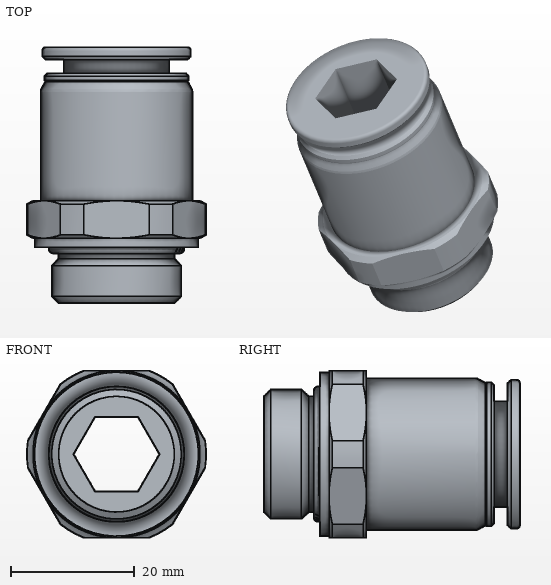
import cadquery as cq
import math

total_length = 41.35
end_chamfer = 1.1
thread_end = 6.05
groove_start = 7.2
seal_start = 8.02
flange_start = 9.0
hex_start = 10.5
hex_end = 16.55
shoulder_start = 34.35
shoulder_end = 35.75
collar_base = 36.0
collar_end = 37.17
button_start = 39.32

thread_radius = 10.45
groove_radius = 9.4
seal_radius = 10.95
flange_radius = 13.25
body_radius = 12.3
shoulder_radius = 11.55
collar_radius = 11.65
neck_radius = 8.55
button_radius = 12.05

hex_flats = 27.0
hex_turned_diameter = 29.0
hex_corner_radius = hex_turned_diameter / 2
hex_chamfer = 0.55
hex_face_radius = hex_flats / 2
key_flats = 12.0
collar_chamfer = 0.5
button_edge = 0.58
seal_section_radius = (seal_radius - groove_radius) / 2
shoulder_fillet = 0.9


def revolve_profile(profile):
    """Close a radius / length profile and turn it around the Y axis."""
    return profile.close().revolve(360, (0, 0, 0), (0, 1, 0))


def cylinder(radius, start, end):
    """Cylinder along Y between two positions."""
    return cq.Workplane("XZ", origin=(0, start, 0)).circle(radius).extrude(start - end)


def hexagon(flats, start, end):
    """Hexagonal prism along Y with corners on the X axis."""
    across_corners = flats / math.cos(math.pi / 6)
    return cq.Workplane("XZ", origin=(0, start, 0)).polygon(6, across_corners).extrude(start - end)


def threaded_end():
    """Chamfered thread envelope, groove and flange below the hexagon."""
    return revolve_profile(
        cq.Workplane("XY")
        .lineTo(thread_radius - end_chamfer, 0)
        .lineTo(thread_radius, end_chamfer)
        .lineTo(thread_radius, thread_end)
        .lineTo(groove_radius, groove_start)
        .lineTo(groove_radius, flange_start)
        .lineTo(flange_radius, flange_start)
        .lineTo(flange_radius, hex_start)
        .lineTo(0, hex_start)
    )


def seal_ring():
    """Round-section seal in the groove, partly sunk into the flange."""
    ring_radius = seal_radius - seal_section_radius
    ring_position = seal_start + seal_section_radius
    ring = cq.Solid.makeTorus(
        ring_radius,
        seal_section_radius,
        cq.Vector(0, ring_position, 0),
        cq.Vector(0, 1, 0),
    )
    return cq.Workplane("XY").add(ring)


def wrench_hexagon():
    """Wrench hexagon with its corners turned down and chamfered."""
    blank = revolve_profile(
        cq.Workplane("XY")
        .moveTo(0, hex_start)
        .lineTo(hex_face_radius, hex_start)
        .lineTo(hex_corner_radius, hex_start + hex_chamfer)
        .lineTo(hex_corner_radius, hex_end - hex_chamfer)
        .lineTo(hex_face_radius, hex_end)
        .lineTo(0, hex_end)
    )
    return hexagon(hex_flats, hex_start, hex_end).intersect(blank)


def sleeve():
    """Plain body with a conical shoulder, its lower edge softened, and a chamfered collar."""
    blank = revolve_profile(
        cq.Workplane("XY")
        .moveTo(0, hex_end)
        .lineTo(body_radius, hex_end)
        .lineTo(body_radius, shoulder_start)
        .lineTo(shoulder_radius, shoulder_end)
        .lineTo(shoulder_radius, collar_base)
        .lineTo(collar_radius, collar_base)
        .lineTo(collar_radius, collar_end - collar_chamfer)
        .lineTo(collar_radius - collar_chamfer, collar_end)
        .lineTo(0, collar_end)
    )
    shoulder_edge = cq.selectors.NearestToPointSelector((0, shoulder_start, 0))
    return blank.edges("%CIRCLE").edges(shoulder_edge).fillet(shoulder_fillet)


def release_button():
    """Narrow neck carrying the release disc, rounded outside and chamfered inside."""
    disc = cylinder(button_radius, button_start, total_length)
    disc = disc.faces(">Y").edges().fillet(button_edge)
    disc = disc.faces("<Y").edges().chamfer(button_edge)
    return cylinder(neck_radius, collar_end, button_start).union(disc)


outside = threaded_end()
for section in (seal_ring(), wrench_hexagon(), sleeve(), release_button()):
    outside = outside.union(section)

result = outside.cut(hexagon(key_flats, 0, total_length))